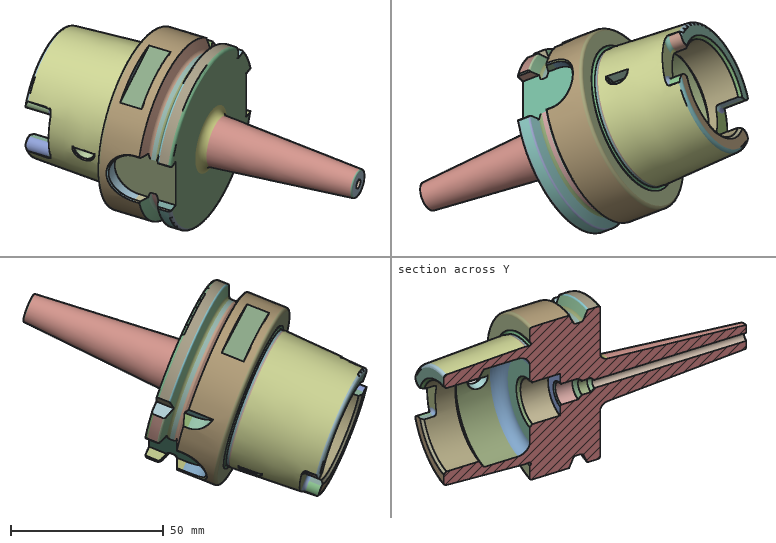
import cadquery as cq
import math

total_length = 112.0
flange_diameter = 63.0
flange_radius = flange_diameter / 2

taper_length = 31.8
taper_end_diameter = 48.5
taper_ratio = 0.1
taper_rim_round = 1.1
relief_start = 30.0
relief_floor_start = 30.5
relief_floor_end = 31.4
relief_diameter = 48.3
face_recess_radius = 25.3
face_recess_depth = 0.5

flange_end = 58.0
flange_rim_round = 1.0
groove_center = 49.8
groove_top_width = 6.7
groove_floor_width = 3.0
groove_floor_radius = 27.2
groove_floor_round = 1.1
groove_edge_round = 0.7

nose_base_radius = 9.1
nose_tip_diameter = 10.0
nose_base_fillet = 2.9
nose_tip_round = 0.6

mouth_diameter = 34.0
mouth_chamfer = 1.0
mouth_length = 13.1
relief_bore_diameter = 40.0
relief_cone_length = 1.8
cavity_floor = taper_length
cavity_floor_radius = 15.7
pilot_rim_diameter = 19.0
pilot_diameter = 17.0
pilot_depth = 11.2
thread_rim_diameter = 9.4
thread_diameter = 8.4
thread_depth = 6.7
duct_diameter = 5.6
duct_depth = 3.4
through_diameter = 3.1

drive_slot_width = 12.5
drive_slot_depth_front = 9.9
drive_slot_depth_back = 5.7
drive_slot_floor_fillet = 1.2
drive_lug_round = 2.8
drive_lug_reach = 22.7

side_hole_x = 23.0
side_hole_diameter = 7.5
side_hole_rim_diameter = 8.4
side_hole_sink_start = 23.5

keyway_width = 18.0
keyway_floor = 26.3
keyway_center_x = 44.7
keyway_rim_chamfer = 0.6
rim_edge_min_y = 29.7

notch_y = 20.0
notch_z = 19.7
notch_start_x = 45.0
notch_cutter_radius = 8.1

pad_start = 35.4
pad_end = 43.2
pad_distance = 29.2
pad_tilt = 22.0

pick_margin = 0.1


def revolve_about_x(profile):
    solid = profile.close().revolve(360, (0, 0, 0), (1, 0, 0))
    return solid.rotate((0, 0, 0), (1, 0, 0), -90)


def circle_at(x, radius):
    """Select the circular edge of the given radius about the X axis at x."""
    tol = 0.01
    outer = radius + tol
    inner = radius - tol
    within_outer = cq.selectors.BoxSelector(
        (x - tol, -outer, -outer), (x + tol, outer, outer), boundingbox=True
    )
    within_inner = cq.selectors.BoxSelector(
        (x - tol, -inner, -inner), (x + tol, inner, inner), boundingbox=True
    )
    return within_outer - within_inner


def make_body():
    """Turned outside: taper, relief, flange with gripper groove, and nose."""
    taper_end_radius = taper_end_diameter / 2
    taper_start_radius = taper_end_radius - relief_start * taper_ratio / 2
    relief_radius = relief_diameter / 2
    groove_left = groove_center - groove_top_width / 2
    groove_right = groove_center + groove_top_width / 2
    floor_left = groove_center - groove_floor_width / 2
    floor_right = groove_center + groove_floor_width / 2
    nose_tip_radius = nose_tip_diameter / 2
    profile = (
        cq.Workplane("XY")
        .moveTo(0, 0)
        .lineTo(0, taper_start_radius)
        .lineTo(relief_start, taper_end_radius)
        .lineTo(relief_floor_start, relief_radius)
        .lineTo(relief_floor_end, relief_radius)
        .threePointArc(
            (taper_length + face_recess_depth, (relief_radius + face_recess_radius) / 2),
            (taper_length, face_recess_radius),
        )
        .lineTo(taper_length, flange_radius)
        .lineTo(groove_left, flange_radius)
        .lineTo(floor_left, groove_floor_radius)
        .lineTo(floor_right, groove_floor_radius)
        .lineTo(groove_right, flange_radius)
        .lineTo(flange_end, flange_radius)
        .lineTo(flange_end, nose_base_radius)
        .lineTo(total_length, nose_tip_radius)
        .lineTo(total_length, 0)
    )
    body = revolve_about_x(profile)
    rounds = [
        (0, taper_start_radius, taper_rim_round),
        (taper_length, flange_radius, flange_rim_round),
        (flange_end, flange_radius, flange_rim_round),
        (floor_left, groove_floor_radius, groove_floor_round),
        (floor_right, groove_floor_radius, groove_floor_round),
        (groove_right, flange_radius, groove_edge_round),
        (flange_end, nose_base_radius, nose_base_fillet),
        (total_length, nose_tip_radius, nose_tip_round),
    ]
    for x, radius, size in rounds:
        body = body.edges(circle_at(x, radius)).fillet(size)
    return body


def make_bore():
    """Stepped bore, narrowing from the open taper end to the nose tip."""
    mouth_radius = mouth_diameter / 2
    relief_radius = relief_bore_diameter / 2
    floor_fillet = relief_radius - cavity_floor_radius
    pilot_rim = pilot_rim_diameter / 2
    pilot_radius = pilot_diameter / 2
    thread_rim = thread_rim_diameter / 2
    thread_radius = thread_diameter / 2
    duct_radius = duct_diameter / 2
    through_radius = through_diameter / 2
    pilot_floor = cavity_floor + pilot_depth
    thread_floor = pilot_floor + thread_depth
    thread_cone_end = thread_floor + thread_radius - duct_radius
    duct_floor = thread_cone_end + duct_depth
    duct_cone_end = duct_floor + duct_radius - through_radius
    fillet_middle = floor_fillet * math.sqrt(0.5)
    profile = (
        cq.Workplane("XY")
        .moveTo(0, 0)
        .lineTo(0, mouth_radius + mouth_chamfer)
        .lineTo(mouth_chamfer, mouth_radius)
        .lineTo(mouth_length, mouth_radius)
        .lineTo(mouth_length + relief_cone_length, relief_radius)
        .lineTo(cavity_floor - floor_fillet, relief_radius)
        .threePointArc(
            (cavity_floor - floor_fillet + fillet_middle, cavity_floor_radius + fillet_middle),
            (cavity_floor, cavity_floor_radius),
        )
        .lineTo(cavity_floor, pilot_rim)
        .lineTo(cavity_floor + pilot_rim - pilot_radius, pilot_radius)
        .lineTo(pilot_floor, pilot_radius)
        .lineTo(pilot_floor, thread_rim)
        .lineTo(pilot_floor + thread_rim - thread_radius, thread_radius)
        .lineTo(thread_floor, thread_radius)
        .lineTo(thread_cone_end, duct_radius)
        .lineTo(duct_floor, duct_radius)
        .lineTo(duct_cone_end, through_radius)
        .lineTo(total_length, through_radius)
        .lineTo(total_length, 0)
    )
    return revolve_about_x(profile)


def cut_drive_slot(body, side, depth):
    """Open a drive slot on the -Y (side = -1) or +Y (side = 1) half of the taper end."""
    half_width = drive_slot_width / 2
    round_center_z = half_width + drive_lug_round
    round_center_y = math.sqrt((drive_lug_reach - drive_lug_round) ** 2 - round_center_z**2)
    flare = drive_lug_reach / (drive_lug_reach - drive_lug_round)
    flare_y = round_center_y * flare
    flare_z = round_center_z * flare
    middle_angle = (math.atan2(round_center_z, round_center_y) - math.pi / 2) / 2
    middle_y = round_center_y + drive_lug_round * math.cos(middle_angle)
    middle_z = round_center_z + drive_lug_round * math.sin(middle_angle)
    slot = (
        cq.Workplane("YZ")
        .moveTo(0, -half_width)
        .lineTo(side * round_center_y, -half_width)
        .threePointArc((side * middle_y, -middle_z), (side * flare_y, -flare_z))
        .lineTo(side * flange_radius, -flare_z)
        .lineTo(side * flange_radius, flare_z)
        .lineTo(side * flare_y, flare_z)
        .threePointArc((side * middle_y, middle_z), (side * round_center_y, half_width))
        .lineTo(0, half_width)
        .close()
        .extrude(depth)
    )
    slot = slot.faces(">X").edges("not |Z").fillet(drive_slot_floor_fillet)
    return body.cut(slot)


def cut_side_hole(body):
    """Cut the lower half of a countersunk cross hole through both walls of the taper."""
    hole_radius = side_hole_diameter / 2
    rim_radius = side_hole_rim_diameter / 2
    sink_end = side_hole_sink_start - (rim_radius - hole_radius)
    half_hole = (
        cq.Workplane("XY")
        .moveTo(0, -flange_radius)
        .lineTo(rim_radius, -flange_radius)
        .lineTo(rim_radius, -side_hole_sink_start)
        .lineTo(hole_radius, -sink_end)
        .lineTo(hole_radius, sink_end)
        .lineTo(rim_radius, side_hole_sink_start)
        .lineTo(rim_radius, flange_radius)
        .lineTo(0, flange_radius)
        .close()
        .revolve(180, (0, 0, 0), (0, 1, 0))
        .translate((side_hole_x, 0, 0))
    )
    return body.cut(half_hole)


def make_keyed_blank():
    """Full-length cylinder with a round-ended keyway on -Y and +Y, their outer edges broken."""
    half_width = keyway_width / 2
    depth = flange_radius - keyway_floor
    length = total_length - keyway_center_x
    blank = cq.Workplane("YZ").circle(flange_radius).extrude(total_length)
    blank = blank.rotate((0, 0, 0), (1, 0, 0), -90)
    for side in (-1, 1):
        keyway = (
            cq.Workplane("XZ", origin=(keyway_center_x, side * keyway_floor, 0))
            .moveTo(length, half_width)
            .lineTo(0, half_width)
            .threePointArc((-half_width, 0), (0, -half_width))
            .lineTo(length, -half_width)
            .close()
            .extrude(-side * depth)
        )
        blank = blank.cut(keyway)
    start = keyway_center_x - half_width - pick_margin
    half_height = half_width + pick_margin
    rims = [
        cq.selectors.BoxSelector(
            (start, side * rim_edge_min_y, -half_height),
            (total_length - pick_margin, side * flange_diameter, half_height),
        )
        for side in (-1, 1)
    ]
    return blank.edges(rims[0] + rims[1]).chamfer(keyway_rim_chamfer)


def cut_notch(body):
    """Mill the orientation notch into the +Y +Z quarter of the flange, with a cutter along Y."""
    reach = flange_radius
    channel = cq.Workplane("XY").box(reach, reach, reach, centered=False).translate(
        (notch_start_x, notch_y, notch_z)
    )
    runout = (
        cq.Workplane("XZ")
        .circle(notch_cutter_radius)
        .extrude(-reach)
        .translate((notch_start_x, notch_y, notch_z + notch_cutter_radius))
    )
    return body.cut(channel).cut(runout)


def cut_pad(body):
    """Mill a flat pad across a chord of the flange."""
    pad = (
        cq.Workplane("XY")
        .box(pad_end - pad_start, flange_diameter, flange_radius, centered=(False, True, False))
        .translate((pad_start, 0, pad_distance))
        .rotate((0, 0, 0), (1, 0, 0), pad_tilt)
    )
    return body.cut(pad)


body = make_body()
body = body.intersect(make_keyed_blank())
body = cut_notch(body)
body = cut_pad(body)
body = body.cut(make_bore())
body = cut_drive_slot(body, -1, drive_slot_depth_front)
body = cut_drive_slot(body, 1, drive_slot_depth_back)
body = cut_side_hole(body)
result = body